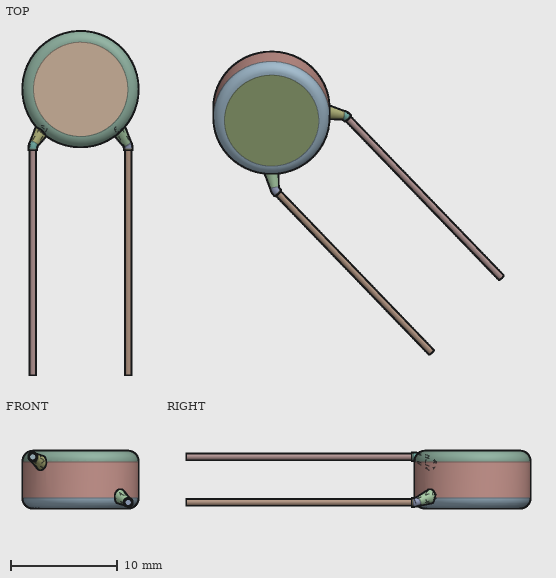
import cadquery as cq
import math

case_diameter = 11.0
case_thickness = 5.5
case_edge_radius = 1.05

lead_diameter = 0.65
lead_spacing = 9.0
lead_height = 2.15
lead_tip_y = -27.0

sleeve_diameter = 0.87
sleeve_end_y = -5.75
sleeve_straight = 0.15
bend_radius = 0.8
bend_angle = math.radians(36)
lean_angle = math.radians(34)
cone_length = 1.9
cone_base_diameter = 1.5

bend_start_y = sleeve_end_y + sleeve_straight
bend_direction = cq.Vector(math.cos(lean_angle), 0, -math.sin(lean_angle))
along_y = cq.Vector(0, 1, 0)
bend_plane = cq.Plane(
    origin=(-lead_spacing / 2, bend_start_y, lead_height),
    xDir=bend_direction,
    normal=bend_direction.cross(along_y),
)


def point_on_bend(angle):
    """Centreline point of the bend, in the bend plane."""
    return (bend_radius * (1 - math.cos(angle)), bend_radius * math.sin(angle))


bend_end = point_on_bend(bend_angle)
cone_direction = (math.sin(bend_angle), math.cos(bend_angle))
cone_base = (
    bend_end[0] + cone_length * cone_direction[0],
    bend_end[1] + cone_length * cone_direction[1],
)


def bent_path(start_y):
    """Straight centreline from start_y, followed by the bend."""
    return (
        cq.Workplane(bend_plane)
        .moveTo(0, start_y - bend_start_y)
        .lineTo(0, 0)
        .threePointArc(point_on_bend(bend_angle / 2), bend_end)
    )


def round_section(start_y, diameter):
    """Circle across the straight centreline at start_y."""
    section_plane = cq.Plane(
        origin=(-lead_spacing / 2, start_y, lead_height),
        xDir=bend_direction,
        normal=along_y,
    )
    return cq.Workplane(section_plane).circle(diameter / 2)


def make_lead():
    """Upper left lead, ending inside the case at the base of the sleeve cone."""
    path = bent_path(lead_tip_y).lineTo(*cone_base)
    return round_section(lead_tip_y, lead_diameter).sweep(path)


def make_sleeve():
    """Solid sleeve around the upper left lead: a bent collar that widens as a cone into the case."""
    collar = round_section(sleeve_end_y, sleeve_diameter).sweep(bent_path(sleeve_end_y))
    cone_start = bend_plane.toWorldCoords(bend_end)
    cone_axis = bend_plane.toWorldCoords(cone_base) - cone_start
    cone = cq.Solid.makeCone(
        sleeve_diameter / 2, cone_base_diameter / 2, cone_length, pnt=cone_start, dir=cone_axis
    )
    return collar.union(cq.Workplane(cone))


def make_case(leads):
    """Rounded disc with a sleeve for each lead and a matching hole through each sleeve."""
    case = (
        cq.Workplane("XY")
        .cylinder(case_thickness, case_diameter / 2)
        .edges()
        .fillet(case_edge_radius)
    )
    for sleeve in both_sides(make_sleeve()):
        case = case.union(sleeve)
    for lead in leads:
        case = case.cut(lead)
    return case


def both_sides(shape):
    """The upper left shape and its copy turned half a turn about Y, at the lower right."""
    return [shape.rotate((0, 0, 0), (0, 1, 0), turn) for turn in (0, 180)]


leads = both_sides(make_lead())
case = make_case(leads)

result = cq.Compound.makeCompound([case.val(), *[lead.val() for lead in leads]])